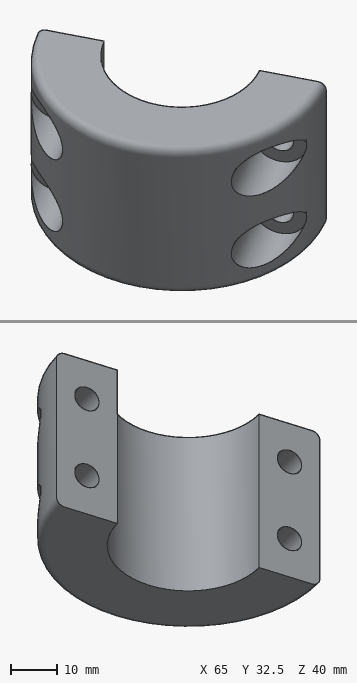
import cadquery as cq

outer_diameter = 65.0
bore_diameter = 35.0
height = 40.0
edge_fillet = 2.0

screw_hole_diameter = 6.0
counterbore_diameter = 12.0
screw_spacing_x = 50.0
screw_spacing_z = 20.0
seat_distance = 9.7

outer_radius = outer_diameter / 2


def rounded_half_ring():
    """Half ring with its outer rims rounded and the bore edges left sharp."""
    cylinder = cq.Workplane("XY").cylinder(height, outer_radius).edges().fillet(edge_fillet)
    ring = cylinder.cut(cq.Workplane("XY").cylinder(height, bore_diameter / 2))
    front_half = cq.Workplane("XY").box(
        outer_diameter, outer_radius, height, centered=(True, False, True)
    ).translate((0, -outer_radius, 0))
    return ring.intersect(front_half)


def screw_cylinders(diameter, start_distance):
    """Four cylinders running outward from a distance in front of the split face."""
    return (
        cq.Workplane("XZ", origin=(0, -start_distance, 0))
        .rarray(screw_spacing_x, screw_spacing_z, 2, 2)
        .circle(diameter / 2)
        .extrude(outer_radius)
    )


result = (
    rounded_half_ring()
    .cut(screw_cylinders(screw_hole_diameter, 0))
    .cut(screw_cylinders(counterbore_diameter, seat_distance))
)